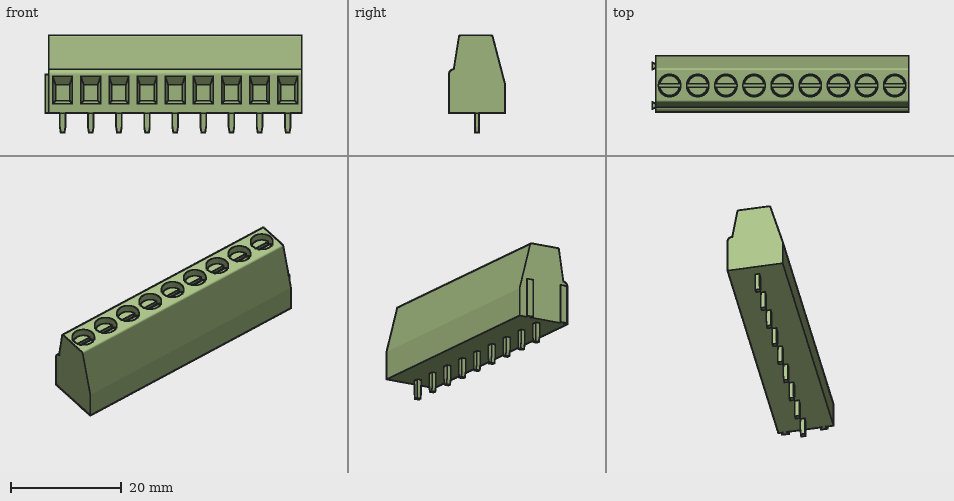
import cadquery as cq

TOTAL_LENGTH = 46.3
DEPTH = 10.2
BODY_HEIGHT = 14.1
POLES = 9

RIB_PROJECTION = 0.6
RIB_HEIGHT = 7.0
RIB_TIP_WIDTH = 1.3
RIB_ROOT_WIDTH = 0.75
RIB_CENTERS_Y = (3.25, -3.9)

FRONT_WALL_HEIGHT = RIB_HEIGHT
BACK_WALL_HEIGHT = 5.2
TOP_BACK_Y = 2.8
TOP_FRONT_Y = -3.25
TOP_EDGE_RADIUS = 0.35
LEDGE_DEPTH = 0.9
LEDGE_RISE = 0.95
LEDGE_RADIUS = 0.95

FUNNEL_MOUTH_WIDTH = 3.55
FUNNEL_MOUTH_BOTTOM = 1.65
FUNNEL_MOUTH_TOP = 6.65
FUNNEL_THROAT_WIDTH = 2.55
FUNNEL_THROAT_BOTTOM = 2.25
FUNNEL_THROAT_TOP = 5.15
FUNNEL_DEPTH = 1.55

SCREW_Y = -0.3
SCREW_HOLE_DIAMETER = 4.05
SCREW_HEAD_DIAMETER = 3.6
SCREW_HEAD_SINK = 1.3
HEAD_GAP_DEPTH = 0.7
DRIVER_SLOT_WIDTH = 0.7
DRIVER_SLOT_DEPTH = 0.7

PIN_LENGTH = 3.5
PIN_WIDTH = 1.05
PIN_THICKNESS = 0.8
PIN_TIP_WIDTH = 0.7
PIN_TIP_LENGTH = 1.05

HOUSING_LENGTH = TOTAL_LENGTH - RIB_PROJECTION
PITCH = HOUSING_LENGTH / POLES
BACK_Y = DEPTH / 2
FRONT_Y = -DEPTH / 2
OVERLAP = 0.25

pole_centers_x = [(index + 0.5) * PITCH for index in range(POLES)]


def make_housing():
    """Extrude the side profile along X, with a rounded ledge above the front wall."""
    profile = (
        cq.Workplane("YZ")
        .moveTo(BACK_Y, 0)
        .lineTo(BACK_Y, BACK_WALL_HEIGHT)
        .lineTo(TOP_BACK_Y, BODY_HEIGHT)
        .lineTo(TOP_FRONT_Y, BODY_HEIGHT)
        .lineTo(FRONT_Y + LEDGE_DEPTH, FRONT_WALL_HEIGHT + LEDGE_RISE)
        .radiusArc((FRONT_Y, FRONT_WALL_HEIGHT), -LEDGE_RADIUS)
        .lineTo(FRONT_Y, 0)
        .close()
    )
    housing = profile.extrude(HOUSING_LENGTH)
    return housing.faces(">Z").edges("|X").fillet(TOP_EDGE_RADIUS)


def make_rib(center_y):
    """Dovetail rib standing on the -X end, widening outward."""
    half_root = RIB_ROOT_WIDTH / 2
    half_tip = RIB_TIP_WIDTH / 2
    outline = [
        (OVERLAP, center_y - half_root),
        (0, center_y - half_root),
        (-RIB_PROJECTION, center_y - half_tip),
        (-RIB_PROJECTION, center_y + half_tip),
        (0, center_y + half_root),
        (OVERLAP, center_y + half_root),
    ]
    return cq.Workplane("XY").polyline(outline).close().extrude(RIB_HEIGHT)


def make_funnel(center_x):
    """Tapered wire entry, cut inward from the front wall."""
    mouth_height = FUNNEL_MOUTH_TOP - FUNNEL_MOUTH_BOTTOM
    mouth_center_z = FUNNEL_MOUTH_BOTTOM + mouth_height / 2
    throat_height = FUNNEL_THROAT_TOP - FUNNEL_THROAT_BOTTOM
    throat_center_z = FUNNEL_THROAT_BOTTOM + throat_height / 2
    return (
        cq.Workplane("XZ", origin=(center_x, FRONT_Y, mouth_center_z))
        .rect(FUNNEL_MOUTH_WIDTH, mouth_height)
        .workplane(offset=-FUNNEL_DEPTH)
        .center(0, throat_center_z - mouth_center_z)
        .rect(FUNNEL_THROAT_WIDTH, throat_height)
        .loft(ruled=True)
    )


def make_screw_recess(center_x):
    """Screw hole to cut from the top, leaving a slotted screw head at its floor."""
    head_z = BODY_HEIGHT - SCREW_HEAD_SINK
    floor_z = head_z - HEAD_GAP_DEPTH
    hole = (
        cq.Workplane("XY", origin=(center_x, SCREW_Y, floor_z))
        .circle(SCREW_HOLE_DIAMETER / 2)
        .extrude(BODY_HEIGHT - floor_z)
    )
    head = (
        cq.Workplane("XY", origin=(center_x, SCREW_Y, floor_z))
        .circle(SCREW_HEAD_DIAMETER / 2)
        .extrude(HEAD_GAP_DEPTH)
    )
    slot = (
        cq.Workplane("XY", origin=(center_x, SCREW_Y, head_z - DRIVER_SLOT_DEPTH))
        .rect(SCREW_HEAD_DIAMETER, DRIVER_SLOT_WIDTH)
        .extrude(DRIVER_SLOT_DEPTH)
    )
    return hole.cut(head.cut(slot))


def make_pin(center_x):
    """Flat solder pin whose width tapers at the tip."""
    half_width = PIN_WIDTH / 2
    half_tip = PIN_TIP_WIDTH / 2
    shoulder_z = PIN_TIP_LENGTH - PIN_LENGTH
    outline = [
        (center_x - half_width, OVERLAP),
        (center_x - half_width, shoulder_z),
        (center_x - half_tip, -PIN_LENGTH),
        (center_x + half_tip, -PIN_LENGTH),
        (center_x + half_width, shoulder_z),
        (center_x + half_width, OVERLAP),
    ]
    return cq.Workplane("XZ").polyline(outline).close().extrude(PIN_THICKNESS / 2, both=True)


result = make_housing()

for rib_y in RIB_CENTERS_Y:
    result = result.union(make_rib(rib_y))

for pole_x in pole_centers_x:
    result = result.cut(make_funnel(pole_x))
    result = result.cut(make_screw_recess(pole_x))
    result = result.union(make_pin(pole_x))